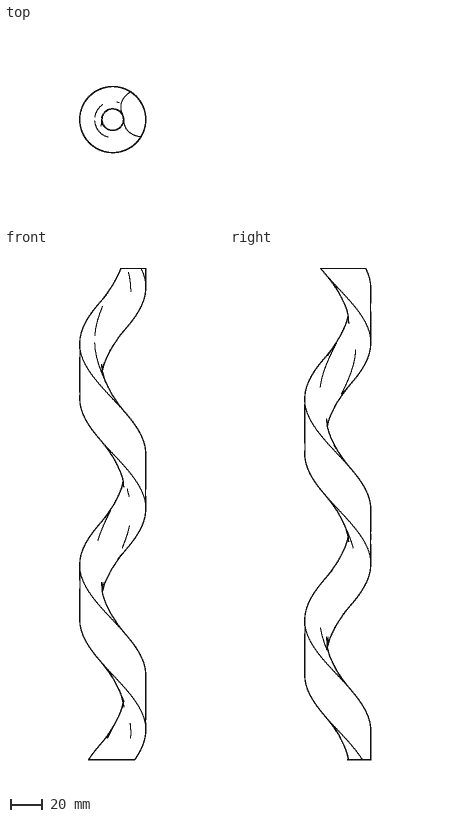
import cadquery as cq
import math

LENGTH = 311.0
OUTER_RADIUS = 21.0
PITCH = 140.0
TOP_ANGLE = 13.0
TWIST = -360.0 * LENGTH / PITCH
BOTTOM_ANGLE = TOP_ANGLE - TWIST

TIP_HALF_ANGLE = math.radians(44.5)
FLAT_EDGE = (6.8, 1.5)
INNER_MIDDLE = (6.5, 5.3)
SHOULDER = (7.5, 8.7)
FLANK_MIDDLE = (9.5, 11.5)
RIM_EDGE = (12.8, 13.7)

TIP = (OUTER_RADIUS * math.cos(TIP_HALF_ANGLE), OUTER_RADIUS * math.sin(TIP_HALF_ANGLE))
OUTER_QUARTER = (
    OUTER_RADIUS * math.cos(TIP_HALF_ANGLE / 2),
    OUTER_RADIUS * math.sin(TIP_HALF_ANGLE / 2),
)


def mirrored(point):
    """Reflect a section point across the section's centre line."""
    return (point[0], -point[1])


def blade_section():
    """Lens-like section with an outer arc concentric with the helix axis."""
    outline = (
        cq.Workplane("XY")
        .transformed(rotate=(0, 0, BOTTOM_ANGLE))
        .moveTo(FLAT_EDGE[0], 0)
        .lineTo(*FLAT_EDGE)
        .threePointArc(INNER_MIDDLE, SHOULDER)
        .threePointArc(FLANK_MIDDLE, RIM_EDGE)
        .lineTo(*TIP)
    )
    outline = outline.threePointArc(OUTER_QUARTER, (OUTER_RADIUS, 0))
    return (
        outline.threePointArc(mirrored(OUTER_QUARTER), mirrored(TIP))
        .lineTo(*mirrored(RIM_EDGE))
        .threePointArc(mirrored(FLANK_MIDDLE), mirrored(SHOULDER))
        .threePointArc(mirrored(INNER_MIDDLE), mirrored(FLAT_EDGE))
        .close()
    )


result = blade_section().twistExtrude(LENGTH, TWIST)